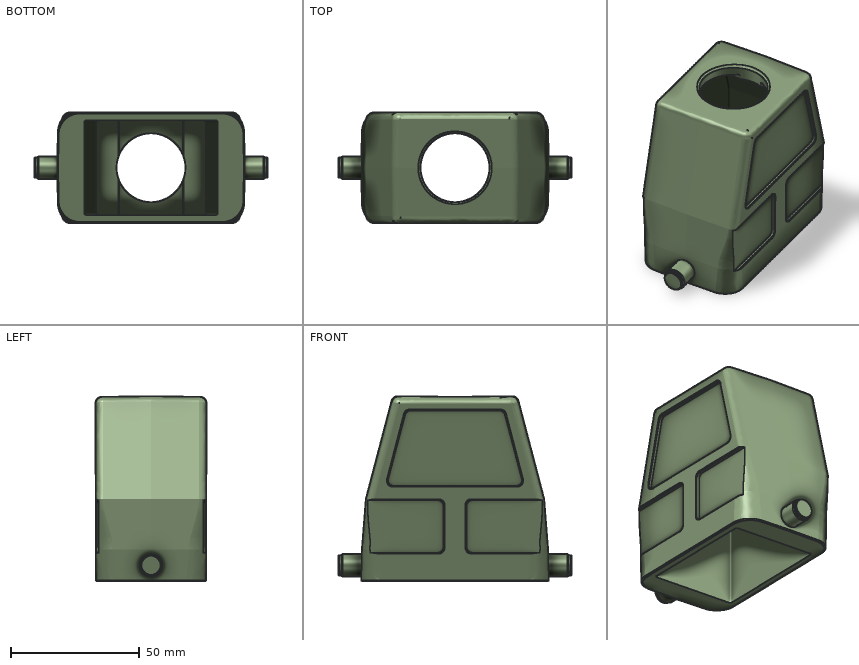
import cadquery as cq
import math

total_length = 90.85
total_height = 72.2

rim_half_length = 36.6
waist_height = 12.45
waist_half_length = 36.3
shoulder_height = 32.1
shoulder_half_length = 34.8
top_half_length = 24.3
end_draft = 0.4
roof_draft = 0.3

rim_half_depth = 21.5
top_half_depth = 21.7

rim_corner_radius = 7.9
waist_corner_radius = 6.9
upper_corner_radius = 3.0
top_edge_radius = 2.7
rim_chamfer = 0.45

cavity_half_depth = 18.4
cavity_half_length = 26.1
cavity_bend_height = 48.15
cavity_bend_radius = 4.2
cavity_corner_radius = 0.9
cavity_ceiling = 66.0
ceiling_recess_top = 67.9
ceiling_recess_half_length = 12.7
ceiling_recess_top_half_length = 12.45
entry_diameter = 26.8
entry_chamfer = 1.0

panel_depth = 1.3
panel_wall_draft = 14.0
panel_bevel = 0.3
panel_rim_radius = 2.5
upper_panel_bottom = 36.8
upper_panel_top = 67.05
upper_panel_side_margin = 6.2
lower_panel_bottom = 10.7
lower_panel_half_gap = 4.0

pin_diameter = 8.8
pin_tip_diameter = 8.0
pin_tip_length = 1.0
pin_shoulder_length = 0.6
pin_tip_chamfer = 0.3
pin_height = 6.3

near_vertical = 0.9
tolerance = 0.1

end_slope = (shoulder_half_length - top_half_length) / (total_height - shoulder_height)


def half_depth_at(z):
    return rim_half_depth + (top_half_depth - rim_half_depth) * z / total_height


def section(z, half_length, corner_radius, inset=0.0):
    """Horizontal outline: a rectangle with slightly peaked ends and rounded corners."""
    y = half_depth_at(z) - inset
    peak = half_length - inset
    x = peak - end_draft
    points = [(x, -y), (peak, 0), (x, y), (-x, y), (-peak, 0), (-x, -y)]
    outline = cq.Wire.makePolygon([cq.Vector(px, py, z) for px, py in points], close=True)
    corners = [v for v in outline.Vertices() if abs(v.Y) > y / 2]
    return outline.fillet2D(corner_radius, corners)


def blended_section(fraction):
    """Outline between waist and shoulder, its corner radius easing from large to small."""
    ease = fraction * fraction * (3 - 2 * fraction)
    z = waist_height + (shoulder_height - waist_height) * fraction
    half_length = waist_half_length + (shoulder_half_length - waist_half_length) * fraction
    radius = waist_corner_radius + (upper_corner_radius - waist_corner_radius) * ease
    return section(z, half_length, radius)


def loft(sections, ruled=True):
    return cq.Workplane(cq.Solid.makeLoft(sections, ruled))


def roof_space():
    """Everything below the two roof slopes, which meet in a ridge along X."""
    overhang = 2
    side = overhang * top_half_depth
    eaves = total_height - overhang * roof_draft
    outline = [(-side, 0), (side, 0), (side, eaves), (0, total_height), (-side, eaves)]
    return cq.Workplane("YZ").polyline(outline).close().extrude(total_length / 2, both=True)


def outer_shell():
    rim_sections = [
        section(0, rim_half_length, rim_corner_radius, rim_chamfer),
        section(rim_chamfer, rim_half_length, rim_corner_radius),
        blended_section(0),
    ]
    base = loft(rim_sections)

    blend_steps = 6
    blend = [blended_section(step / blend_steps) for step in range(blend_steps + 1)]
    middle = loft(blend, ruled=False)

    top = section(total_height, top_half_length, upper_corner_radius)
    upper = loft([blended_section(1), top]).intersect(roof_space())
    roof_faces = upper.faces().filter(lambda face: face.normalAt().z > near_vertical)
    roof_rim = roof_faces.edges().filter(lambda edge: abs(edge.Center().y) > tolerance)
    upper = roof_rim.fillet(top_edge_radius)

    return base.union(middle).union(upper)


def cavity():
    lean = end_slope * (cavity_ceiling - cavity_bend_height)
    right = [
        (cavity_half_length, 0),
        (cavity_half_length, cavity_bend_height),
        (cavity_half_length - lean, cavity_ceiling),
    ]
    left = [(-x, z) for x, z in reversed(right)]
    space = cq.Workplane("XZ").polyline(right + left).close().extrude(cavity_half_depth, both=True)
    bends = space.edges("|Y").filter(lambda edge: abs(edge.Center().z - cavity_bend_height) < tolerance)
    space = bends.fillet(cavity_bend_radius)
    end_corners = space.faces("<Y or >Y").edges().filter(lambda edge: abs(edge.Center().x) > tolerance)
    space = end_corners.fillet(cavity_corner_radius)

    recess_outline = [
        (-ceiling_recess_half_length, cavity_ceiling),
        (ceiling_recess_half_length, cavity_ceiling),
        (ceiling_recess_top_half_length, ceiling_recess_top),
        (-ceiling_recess_top_half_length, ceiling_recess_top),
    ]
    recess = cq.Workplane("XZ").polyline(recess_outline).close().extrude(cavity_half_depth, both=True)
    return space.union(recess)


def cable_entry():
    radius = entry_diameter / 2
    hole = cq.Workplane("XY").workplane(offset=shoulder_height).circle(radius).extrude(total_height)
    flare = cq.Solid.makeCone(radius, radius + entry_chamfer, entry_chamfer)
    return hole.union(cq.Workplane(flare).translate((0, 0, total_height - entry_chamfer)))


def panel_pockets(rim_points):
    """A pair of pockets, one in each side wall, with drafted walls and a bevelled rim."""
    heights = [z for _, z in rim_points]
    surface = half_depth_at((min(heights) + max(heights)) / 2)
    bevel_start = surface - panel_bevel
    rim = cq.Wire.makePolygon([cq.Vector(x, -bevel_start, z) for x, z in rim_points], close=True)
    rim = rim.fillet2D(panel_rim_radius, rim.Vertices()).offset2D(-panel_bevel)[0]
    inward = cq.Vector(0, panel_depth - panel_bevel, 0)
    outward = cq.Vector(0, -2 * panel_bevel, 0)
    walls = cq.Solid.extrudeLinear(rim, [], inward, panel_wall_draft)
    bevel = cq.Solid.extrudeLinear(rim, [], outward, -45)
    pocket = cq.Workplane(walls).union(cq.Workplane(bevel))
    return pocket.union(pocket.mirror("XZ"))


def upper_panels():
    rim_points = []
    for z in (upper_panel_bottom, upper_panel_top):
        half_length = shoulder_half_length - end_slope * (z - shoulder_height) - upper_panel_side_margin
        rim_points.append((half_length, z))
    mirrored = [(-x, z) for x, z in reversed(rim_points)]
    return panel_pockets(rim_points + mirrored)


def lower_panels():
    """Panels beside the middle rib, running out through the ends of the side walls."""
    inner = lower_panel_half_gap
    outer = total_length / 2
    bottom = lower_panel_bottom
    top = shoulder_height
    right = panel_pockets([(inner, bottom), (outer, bottom), (outer, top), (inner, top)])
    return right.union(right.mirror("YZ"))


def locking_pins():
    root = shoulder_half_length
    tip = total_length / 2
    neck = tip - pin_tip_length
    radius = pin_diameter / 2
    tip_radius = pin_tip_diameter / 2
    profile = [
        (root, 0),
        (root, radius),
        (neck - pin_shoulder_length, radius),
        (neck, tip_radius),
        (tip - pin_tip_chamfer, tip_radius),
        (tip, tip_radius - pin_tip_chamfer),
        (tip, 0),
    ]
    pin = cq.Workplane("XZ").polyline(profile).close().revolve(360, (0, 0), (1, 0))
    pin = pin.translate((0, 0, pin_height))
    return pin.union(pin.mirror("YZ"))


result = (
    outer_shell()
    .cut(cavity())
    .cut(cable_entry())
    .cut(upper_panels())
    .cut(lower_panels())
    .union(locking_pins())
)